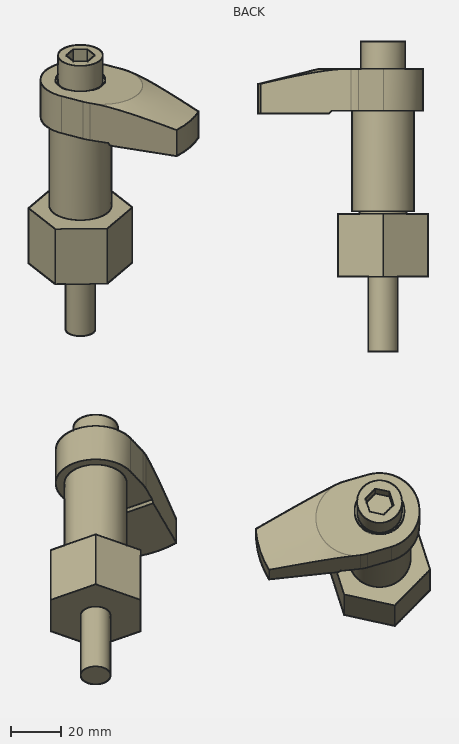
import cadquery as cq
import math

overall_height = 124.0
shank_diameter = 12.0
head_diameter = 18.0
head_height = 12.0
socket_width = 10.0
socket_depth = 6.0

base_width = 36.0
base_bottom = 30.0
base_top = 55.0

neck_diameter = 19.0
neck_height = 1.0
barrel_diameter = 25.0
arm_bottom = 96.25
arm_top = 113.0
arm_radius = 16.0
lobe_offset = 10.0
arm_reach = 50.0
taper_angle = 10.5
cone_drop = 6.0
pad_drop = 1.1
pad_start = 20.5
head_recess_diameter = 20.0

head_bottom = overall_height - head_height
barrel_bottom = base_top + neck_height
pad_bottom = arm_bottom - pad_drop
tip_radius = arm_reach - lobe_offset


def cylinder(diameter, bottom, top):
    """Upright cylinder on the screw axis."""
    return cq.Workplane("XY").workplane(offset=bottom).circle(diameter / 2).extrude(top - bottom)


def hexagon(width, bottom, top):
    """Upright hexagonal prism on the screw axis, with two flats facing -X and +X."""
    corner_diameter = width / math.cos(math.radians(30))
    prism = (
        cq.Workplane("XY").workplane(offset=bottom)
        .polygon(6, corner_diameter)
        .extrude(top - bottom)
    )
    return prism.rotate((0, 0, 0), (0, 0, 1), 30)


def arm_plan():
    """Solid with the plan outline of the arm, from the pad face to the top face."""
    taper = math.radians(taper_angle)
    tangent_x = lobe_offset + arm_radius * math.sin(taper)
    tangent_y = arm_radius * math.cos(taper)
    lobe_mid_x = lobe_offset + arm_radius * math.sin(taper / 2)
    lobe_mid_y = arm_radius * math.cos(taper / 2)
    tip_angle = math.acos(arm_radius / tip_radius)
    side_direction = math.pi / 2 - taper - tip_angle
    tip_x = lobe_offset + tip_radius * math.cos(side_direction)
    tip_y = tip_radius * math.sin(side_direction)
    return (
        cq.Workplane("XY").workplane(offset=pad_bottom)
        .moveTo(0, arm_radius)
        .threePointArc((-arm_radius, 0), (0, -arm_radius))
        .lineTo(lobe_offset, -arm_radius)
        .threePointArc((lobe_mid_x, -lobe_mid_y), (tangent_x, -tangent_y))
        .lineTo(tip_x, -tip_y)
        .threePointArc((arm_reach, 0), (tip_x, tip_y))
        .lineTo(tangent_x, tangent_y)
        .threePointArc((lobe_mid_x, lobe_mid_y), (lobe_offset, arm_radius))
        .close()
        .extrude(arm_top - pad_bottom)
    )


def underside_relief():
    """Material below the arm that is removed to leave the pad with its 45 degree ramp."""
    return (
        cq.Workplane("XZ")
        .moveTo(-arm_radius, arm_bottom)
        .lineTo(pad_start, arm_bottom)
        .lineTo(pad_start + pad_drop, pad_bottom)
        .lineTo(-arm_radius, pad_bottom)
        .close()
        .extrude(arm_radius, both=True)
    )


def top_slope():
    """Half ring above the conical top face, which falls from the rim of the lobe past the tip."""
    outer_radius = arm_radius + 2 * (tip_radius - arm_radius)
    outer_level = arm_top - 2 * cone_drop
    half_ring = (
        cq.Workplane("YZ")
        .moveTo(-arm_radius, arm_top)
        .lineTo(-outer_radius, arm_top)
        .lineTo(-outer_radius, outer_level)
        .close()
        .revolve(180, (0, 0, 0), (0, 1, 0))
    )
    return half_ring.translate((lobe_offset, 0, 0))


def make_screw():
    shank = cylinder(shank_diameter, 0, head_bottom)
    head = cylinder(head_diameter, head_bottom, overall_height)
    socket = hexagon(socket_width, overall_height - socket_depth, overall_height)
    return shank.union(head).cut(socket)


def make_base():
    bore = cylinder(shank_diameter, base_bottom, base_top)
    return hexagon(base_width, base_bottom, base_top).cut(bore)


def make_clamp():
    arm = arm_plan().cut(underside_relief()).cut(top_slope())
    barrel = cylinder(barrel_diameter, barrel_bottom, arm_bottom)
    neck = cylinder(neck_diameter, base_top, barrel_bottom)
    bore = cylinder(shank_diameter, base_top, arm_top)
    head_recess = cylinder(head_recess_diameter, head_bottom, arm_top)
    return arm.union(barrel).union(neck).cut(bore).cut(head_recess)


screw = make_screw()
base = make_base()
clamp = make_clamp()

result = cq.Compound.makeCompound([screw.val(), base.val(), clamp.val()])